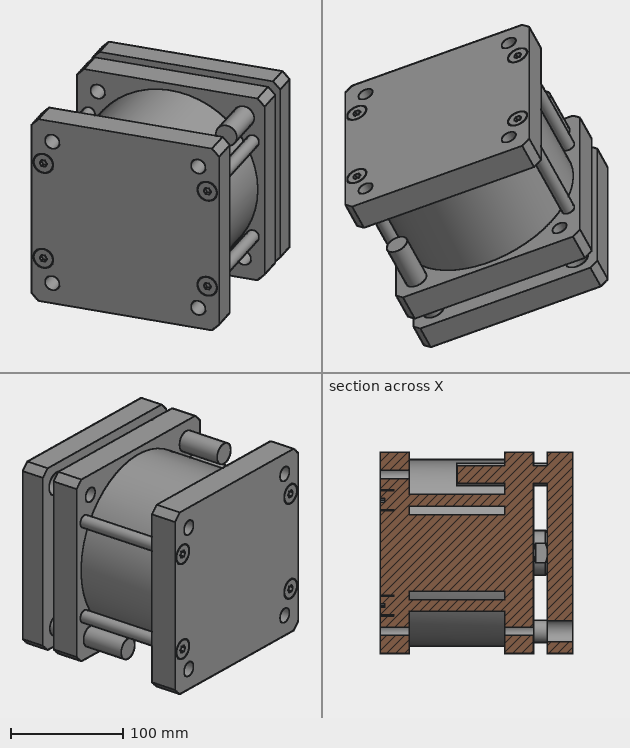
import cadquery as cq
import math

plate_side = 180.0
corner_circle_diameter = 245.0
front_cover_thickness = 26.0
rear_cover_thickness = 26.0
moving_plate_thickness = 23.0
moving_plate_gap = 12.0
barrel_length = 85.0
total_length = (
    front_cover_thickness + barrel_length + rear_cover_thickness + moving_plate_gap + moving_plate_thickness
)

front_y = -total_length / 2
barrel_front_y = front_y + front_cover_thickness
barrel_rear_y = barrel_front_y + barrel_length
gap_front_y = barrel_rear_y + rear_cover_thickness
gap_rear_y = gap_front_y + moving_plate_gap
rear_y = gap_rear_y + moving_plate_thickness

barrel_diameter = 167.0
piston_rod_diameter = 40.0
piston_rod_chamfer = 1.5
wrench_flat_width = 36.0
wrench_flat_length = 10.0

tie_rod_diameter = 12.0
tie_rod_x = 78.6
tie_rod_z = 47.0
counterbore_diameter = 19.0
screw_head_diameter = 18.0
screw_head_height = 12.0
hex_socket_flats = 6.0
hex_socket_depth = 4.0
hex_sides = 6
hex_socket_corners = hex_socket_flats / math.cos(math.pi / hex_sides)

corner_offset = 70.0
corner_hole_diameter = 13.84
guide_rod_diameter = 20.0
guide_rod_overhang = 42.5
moving_plate_hole_diameter = 22.0

tie_rod_centres = [(x, z) for x in (-tie_rod_x, tie_rod_x) for z in (-tie_rod_z, tie_rod_z)]
corner_centres = [(x, z) for x in (-corner_offset, corner_offset) for z in (-corner_offset, corner_offset)]
guide_rod_centres = [(x, z) for x, z in corner_centres if x == z]
open_hole_centres = [(x, z) for x, z in corner_centres if x != z]


def section_plane(y):
    """XZ plane at the given Y, with local axes along X and Z; a negative extrusion grows toward +Y."""
    return cq.Workplane("XZ", origin=(0, y, 0))


def plate(y, thickness):
    """Square plate whose corners are turned off on a circle about the cylinder axis."""
    square = section_plane(y).rect(plate_side, plate_side).extrude(-thickness)
    return square.intersect(cylinders([(0, 0)], corner_circle_diameter, y, y + thickness))


def cylinders(centres, diameter, y_start, y_end):
    """Round bars along Y at each (x, z) centre."""
    return section_plane(y_start).pushPoints(centres).circle(diameter / 2).extrude(y_start - y_end)


def piston_rod():
    """Round rod, chamfered at the moving plate, with two wrench flats that ramp out to full diameter."""
    rod = cylinders([(0, 0)], piston_rod_diameter, gap_front_y, gap_rear_y)
    rod = rod.faces(">Y").chamfer(piston_rod_chamfer)
    rod_radius = piston_rod_diameter / 2
    flat_x = wrench_flat_width / 2
    ramp_y = gap_rear_y - wrench_flat_length
    profile = [
        (-rod_radius, gap_front_y),
        (rod_radius, gap_front_y),
        (flat_x, ramp_y),
        (flat_x, gap_rear_y),
        (-flat_x, gap_rear_y),
        (-flat_x, ramp_y),
    ]
    return rod.intersect(cq.Workplane("XY").polyline(profile).close().extrude(piston_rod_diameter, both=True))


def screw_recesses():
    """Clearance ring around each screw head and the hexagonal socket in it, with corners along X."""
    head_base_y = front_y + screw_head_height
    bores = cylinders(tie_rod_centres, counterbore_diameter, front_y, head_base_y)
    heads = cylinders(tie_rod_centres, screw_head_diameter, front_y, head_base_y)
    sockets = section_plane(front_y).pushPoints(tie_rod_centres)
    sockets = sockets.polygon(hex_sides, hex_socket_corners).extrude(-hex_socket_depth)
    return bores.cut(heads).union(sockets)


front_cover = plate(front_y, front_cover_thickness)
front_cover = front_cover.cut(cylinders(corner_centres, corner_hole_diameter, front_y, barrel_front_y))
front_cover = front_cover.cut(screw_recesses())

barrel = cylinders([(0, 0)], barrel_diameter, barrel_front_y, barrel_rear_y)
tie_rods = cylinders(tie_rod_centres, tie_rod_diameter, barrel_front_y, barrel_rear_y)

rear_cover = plate(barrel_rear_y, rear_cover_thickness)
rear_cover = rear_cover.cut(cylinders(open_hole_centres, corner_hole_diameter, barrel_rear_y, gap_front_y))

guide_rods = cylinders(guide_rod_centres, guide_rod_diameter, barrel_rear_y - guide_rod_overhang, gap_rear_y)

moving_plate = plate(gap_rear_y, moving_plate_thickness)
moving_plate = moving_plate.cut(cylinders(open_hole_centres, moving_plate_hole_diameter, gap_rear_y, rear_y))

result = front_cover
for component in (barrel, tie_rods, rear_cover, piston_rod(), guide_rods, moving_plate):
    result = result.union(component)